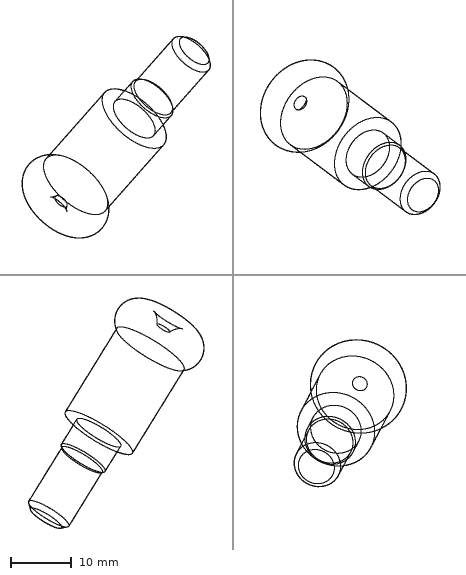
import cadquery as cq
import math

length = 40.0
knob_radius = 16.0 / 2
rim_radius = 7.0 / 2
body_radius = 13.0 / 2
neck_radius = 8.5 / 2
shank_radius = 7.8 / 2
dimple_radius = 1.25
body_end_distance = 23.0
neck_length = 5.05
tip_chamfer = 0.9

front_y = -length / 2
back_y = length / 2
body_end_y = front_y + body_end_distance
neck_end_y = body_end_y + neck_length
neck_chamfer = neck_radius - shank_radius

rim_center_x = knob_radius - rim_radius
rim_center_y = front_y + rim_radius


def rim_offset(radius):
    """Distance along Y from the rim centre to its surface at a given radius."""
    return math.sqrt(rim_radius**2 - (radius - rim_center_x) ** 2)


dimple_y = rim_center_y - rim_offset(dimple_radius)
knob_end_y = rim_center_y + rim_offset(body_radius)

profile = (
    cq.Workplane("XY")
    .moveTo(0, dimple_y)
    .lineTo(dimple_radius, dimple_y)
    .threePointArc((knob_radius, rim_center_y), (body_radius, knob_end_y))
    .lineTo(body_radius, body_end_y)
    .lineTo(neck_radius, body_end_y)
    .lineTo(neck_radius, neck_end_y)
    .lineTo(shank_radius, neck_end_y + neck_chamfer)
    .lineTo(shank_radius, back_y - tip_chamfer)
    .lineTo(shank_radius - tip_chamfer, back_y)
    .lineTo(0, back_y)
    .close()
)

result = profile.revolve(360, (0, 0, 0), (0, 1, 0))